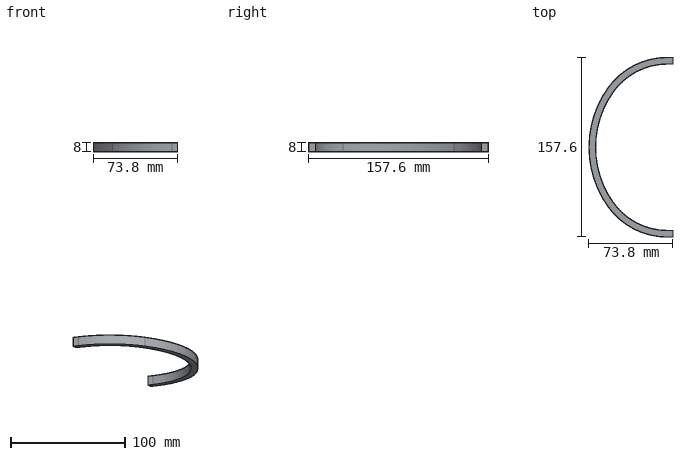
import cadquery as cq
import math

length_x = 73.8
span_y = 157.6
height = 8.0
band_width = 6.0
end_length = 5.0
middle_radius = 89.5

half_span = span_y / 2
arc_depth = length_x - end_length
middle_offset = middle_radius - arc_depth
end_radius = (middle_radius**2 - middle_offset**2 - half_span**2) / (2 * (middle_radius - half_span))
end_center_y = half_span - end_radius
joint_angle = math.atan2(end_center_y, middle_offset)


def arc_point(center_x, center_y, radius, angle):
    """Point on an arc, with the angle measured from -X toward +Y."""
    return (center_x - radius * math.cos(angle), center_y + radius * math.sin(angle))


def mirrored(point):
    return (point[0], -point[1])


def outline_solid(inset):
    """Solid bounded by the three tangent arcs, moved inward by inset, and open toward +X."""
    radius = end_radius - inset
    tip = (end_length, half_span - inset)
    arc_end = (0, half_span - inset)
    end_middle = arc_point(0, end_center_y, radius, (joint_angle + math.pi / 2) / 2)
    joint = arc_point(0, end_center_y, radius, joint_angle)
    left = (inset - arc_depth, 0)
    return (
        cq.Workplane("XY")
        .moveTo(*tip)
        .lineTo(*arc_end)
        .threePointArc(end_middle, joint)
        .threePointArc(left, mirrored(joint))
        .threePointArc(mirrored(end_middle), mirrored(arc_end))
        .lineTo(*mirrored(tip))
        .close()
        .extrude(height)
    )


result = outline_solid(0).cut(outline_solid(band_width))